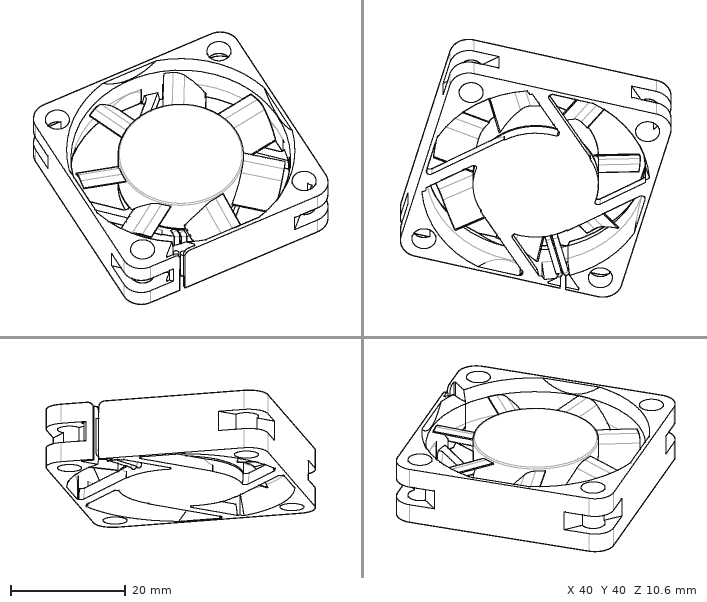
import cadquery as cq
import math

SIDE = 40.0
HALF_SIDE = SIDE / 2
HEIGHT = 10.55
CORNER_RADIUS = 3.45
MOUNT_HOLE_DIAMETER = 4.2
MOUNT_HOLE_INSET = 4.0
NOTCH_HEIGHT = HEIGHT / 3
NOTCH_LEG = 8.0

BORE_RADIUS = 38.5 / 2
FLARE_RADIUS = 20.0
TOP_FLARE_DEPTH = 2.35
BOTTOM_FLARE_DEPTH = 4.3
WALL_THICKNESS = 0.7

BASE_RADIUS = 22.0 / 2
BASE_HEIGHT = 2.1
STRUT_COUNT = 4
STRUT_OUTER = 11.15
STRUT_INNER = 9.1
STRUT_BEVEL = 0.3
STRUT_FILLET = 0.6
FILLET_SINK = 0.1
STRUT_OVERLAP = 0.6
STRUT_ROOT_DEPTH = 2.4
FOOT_INNER = 8.7
FOOT_OUTER = 11.9
STRUT_HEADING = 45.0

OUTLET_CENTRE_Y = -10.2
OUTLET_WALL_X = 19.5
OUTLET_WIDTH = 5.5
OUTLET_LIP = 0.3
PASSAGE_ANGLE = 63.6
PASSAGE_X = 18.0
PASSAGE_LENGTH = 3.6
SLIT_WIDTH = 1.0
SLIT_ROUND = 1.1

HUB_RADIUS = 22.0 / 2
HUB_BOTTOM = 2.4
HUB_TOP = 9.45
HUB_EDGE_ROUND = 0.25
BLADE_COUNT = 7
BLADE_TIP_RADIUS = 18.3
BLADE_ROOT_RADIUS = 10.0
FIRST_BLADE_ANGLE = -3.6

WIRE_COUNT = 2
WIRE_DIAMETER = 1.0
WIRE_Z = 1.5
WIRE_TOP = 8.0
WIRE_SPACING = 1.25
WIRE_SLOPE = 29.0
WIRE_START = (8.8, -5.0)
WIRE_LEAD = 1.35
WIRE_BEND_RADIUS = 2.4
WIRE_END_BEND_RADIUS = 0.6
WIRE_END_X = 18.35


def disc(radius, z_low, z_high):
    return cq.Workplane("XY").workplane(offset=z_low).circle(radius).extrude(z_high - z_low)


def polar(radius, angle, centre=(0, 0)):
    return (centre[0] + radius * math.cos(angle), centre[1] + radius * math.sin(angle))


def make_cone(z_mouth, z_throat):
    """Cone that narrows from the flare radius at its mouth to the bore radius at its throat."""
    profile = (
        cq.Workplane("XZ")
        .moveTo(0, z_mouth)
        .lineTo(FLARE_RADIUS, z_mouth)
        .lineTo(BORE_RADIUS, z_throat)
        .lineTo(0, z_throat)
        .close()
    )
    return profile.revolve(360, (0, 0, 0), (0, 1, 0))


def around_base(shape):
    """Copies of a shape, one for each strut."""
    return [
        shape.rotate((0, 0, 0), (0, 0, 1), STRUT_HEADING + index * 360 / STRUT_COUNT)
        for index in range(STRUT_COUNT)
    ]


def cut_duct(block):
    """Round bore with flared ends cut flat near the sides; the lower flare stops at each strut."""
    clear_width = SIDE - 2 * WALL_THICKNESS
    flats = cq.Workplane("XY").rect(clear_width, clear_width).extrude(HEIGHT)
    top_flare = make_cone(HEIGHT, HEIGHT - TOP_FLARE_DEPTH).intersect(flats)
    bottom_flare = make_cone(0, BOTTOM_FLARE_DEPTH).intersect(flats)
    foot = (
        cq.Workplane("XY")
        .center(FLARE_RADIUS / 2, (FOOT_OUTER + FOOT_INNER) / 2)
        .rect(FLARE_RADIUS, FOOT_OUTER - FOOT_INNER)
        .extrude(BOTTOM_FLARE_DEPTH)
    )
    for copy in around_base(foot):
        bottom_flare = bottom_flare.cut(copy)
    return block.cut(top_flare).cut(bottom_flare).cut(disc(BORE_RADIUS, 0, HEIGHT))


def make_corner_notches():
    """Triangular slots at mid height, one across each corner."""
    notches = cq.Workplane("XY")
    for sign_x in (-1, 1):
        for sign_y in (-1, 1):
            corner = (sign_x * HALF_SIDE, sign_y * HALF_SIDE)
            notch = (
                cq.Workplane("XY")
                .workplane(offset=(HEIGHT - NOTCH_HEIGHT) / 2)
                .polyline(
                    [
                        corner,
                        (corner[0] - sign_x * NOTCH_LEG, corner[1]),
                        (corner[0], corner[1] - sign_y * NOTCH_LEG),
                    ]
                )
                .close()
                .extrude(NOTCH_HEIGHT)
            )
            notches = notches.add(notch)
    return notches.combine()


def make_cable_outlet():
    """Pocket behind the +X wall, a round-edged slit through the wall and a passage to the notch."""
    shoulder_x = OUTLET_WALL_X - OUTLET_LIP
    half_width = OUTLET_WIDTH / 2
    low_y = OUTLET_CENTRE_Y - half_width
    high_y = OUTLET_CENTRE_Y + half_width
    pocket = (
        cq.Workplane("XY")
        .moveTo(shoulder_x - half_width, OUTLET_CENTRE_Y)
        .lineTo(shoulder_x, high_y)
        .lineTo(OUTLET_WALL_X, high_y)
        .lineTo(OUTLET_WALL_X, low_y)
        .lineTo(shoulder_x, low_y)
        .close()
        .extrude(HEIGHT)
    )
    passage_y = low_y + shoulder_x - PASSAGE_X
    passage_angle = math.radians(PASSAGE_ANGLE)
    passage_end_y = passage_y - PASSAGE_LENGTH * math.sin(passage_angle)
    passage = (
        cq.Workplane("XY")
        .workplane(offset=(HEIGHT - NOTCH_HEIGHT) / 2)
        .moveTo(PASSAGE_X, passage_y)
        .lineTo(shoulder_x, low_y)
        .lineTo(shoulder_x, passage_end_y)
        .lineTo(PASSAGE_X - PASSAGE_LENGTH * math.cos(passage_angle), passage_end_y)
        .close()
        .extrude(NOTCH_HEIGHT)
    )
    narrow = SLIT_WIDTH / 2
    wide = narrow + SLIT_ROUND
    round_z = HEIGHT - SLIT_ROUND
    middle = SLIT_ROUND * (1 - math.sqrt(0.5))
    slit = (
        cq.Workplane("YZ", origin=(OUTLET_WALL_X, OUTLET_CENTRE_Y, 0))
        .moveTo(-narrow, 0)
        .lineTo(narrow, 0)
        .lineTo(narrow, round_z)
        .threePointArc((narrow + middle, HEIGHT - middle), (wide, HEIGHT))
        .lineTo(-wide, HEIGHT)
        .threePointArc((-narrow - middle, HEIGHT - middle), (-narrow, round_z))
        .close()
        .extrude(HALF_SIDE - OUTLET_WALL_X)
    )
    return pocket.union(slit).union(passage)


def draw_strut_plan(workplane, inset):
    """Outline of one strut along X, inset from its foot, with a fillet at the wall and at the base."""
    outer = STRUT_OUTER - inset
    inner = STRUT_INNER + inset
    fillet = STRUT_FILLET + inset
    wall_radius = BORE_RADIUS + FILLET_SINK + inset
    hub_radius = BASE_RADIUS - FILLET_SINK - inset
    root_radius = BASE_RADIUS - STRUT_ROOT_DEPTH
    end_radius = BORE_RADIUS + STRUT_OVERLAP

    wall_y = outer + fillet
    wall_x = math.sqrt((wall_radius - fillet) ** 2 - wall_y**2)
    wall_angle = math.atan2(wall_y, wall_x)
    wall_mid_angle = (wall_angle - math.pi / 2) / 2

    hub_y = inner - fillet
    hub_x = math.sqrt((hub_radius + fillet) ** 2 - hub_y**2)
    hub_angle = math.atan2(hub_y, hub_x)
    hub_mid_angle = (hub_angle + math.pi + math.pi / 2) / 2

    return (
        workplane.moveTo(0, outer)
        .lineTo(wall_x, outer)
        .threePointArc(
            polar(fillet, wall_mid_angle, (wall_x, wall_y)),
            polar(wall_radius, wall_angle),
        )
        .lineTo(*polar(end_radius, wall_angle))
        .lineTo(*polar(end_radius, math.asin(inner / end_radius)))
        .lineTo(hub_x, inner)
        .threePointArc(
            polar(fillet, hub_mid_angle, (hub_x, hub_y)),
            polar(hub_radius, hub_angle),
        )
        .lineTo(*polar(root_radius, hub_angle))
        .lineTo(0, root_radius)
        .close()
    )


def make_strut():
    """Strut whose sides lean inwards towards its top."""
    foot_plan = draw_strut_plan(cq.Workplane("XY"), 0)
    top_plan = draw_strut_plan(foot_plan.workplane(offset=BASE_HEIGHT), STRUT_BEVEL)
    return top_plan.loft(ruled=True)


def make_spider():
    """Motor base with its struts."""
    spider = disc(BASE_RADIUS, 0, BASE_HEIGHT)
    for copy in around_base(make_strut()):
        spider = spider.union(copy)
    return spider


def make_frame(wires):
    """Square housing joined to the motor base, with a channel for each wire."""
    hole_spacing = SIDE - 2 * MOUNT_HOLE_INSET
    block = cq.Workplane("XY").rect(SIDE, SIDE).extrude(HEIGHT).edges("|Z").fillet(CORNER_RADIUS)
    mount_holes = (
        cq.Workplane("XY")
        .rect(hole_spacing, hole_spacing, forConstruction=True)
        .vertices()
        .circle(MOUNT_HOLE_DIAMETER / 2)
        .extrude(HEIGHT)
    )
    frame = (
        cut_duct(block)
        .cut(make_corner_notches())
        .cut(mount_holes)
        .cut(make_cable_outlet())
        .union(make_spider())
    )
    for wire in wires:
        frame = frame.cut(wire)
    return frame


def make_blade():
    """One blade along +X: flat at the leading edge, then curving down to the trailing edge."""
    section = (
        cq.Workplane("YZ", origin=(BLADE_ROOT_RADIUS, 0, 0))
        .moveTo(3.45, 8.8)
        .lineTo(1.8, 8.8)
        .threePointArc((0.7, 8.55), (-0.2, 7.9))
        .threePointArc((-2.25, 5.7), (-4.0, 3.15))
        .lineTo(-3.75, 3.15)
        .threePointArc((-1.95, 5.6), (0.05, 7.7))
        .threePointArc((0.85, 8.3), (1.8, 8.55))
        .lineTo(3.45, 8.55)
        .close()
    )
    return section.extrude(BLADE_TIP_RADIUS - BLADE_ROOT_RADIUS)


def make_rotor():
    """Hub with its ring of blades."""
    rotor = disc(HUB_RADIUS, HUB_BOTTOM, HUB_TOP).faces(">Z").edges().fillet(HUB_EDGE_ROUND)
    blade = make_blade().intersect(disc(BLADE_TIP_RADIUS, HUB_BOTTOM, HUB_TOP))
    for index in range(BLADE_COUNT):
        turn = FIRST_BLADE_ANGLE + index * 360 / BLADE_COUNT
        rotor = rotor.union(blade.rotate((0, 0, 0), (0, 0, 1), turn))
    return rotor


def make_wire():
    """Wire leaving the base along +X, bending towards the outlet and then turning straight up."""
    slope = math.radians(WIRE_SLOPE)
    start = cq.Vector(WIRE_START[0], WIRE_START[1], WIRE_Z)
    bend_start = start + cq.Vector(WIRE_LEAD, 0, 0)

    def on_bend(angle):
        return bend_start + cq.Vector(math.sin(angle), math.cos(angle) - 1, 0) * WIRE_BEND_RADIUS

    bend_end = on_bend(slope)
    heading = cq.Vector(math.cos(slope), -math.sin(slope), 0)
    corner = bend_end + heading * ((WIRE_END_X - bend_end.x) / math.cos(slope))
    up = cq.Vector(0, 0, 1)
    turn_start = corner - heading * WIRE_END_BEND_RADIUS
    turn_end = corner + up * WIRE_END_BEND_RADIUS
    turn_middle = corner + (up - heading) * (WIRE_END_BEND_RADIUS * (1 - math.sqrt(0.5)))
    top = cq.Vector(corner.x, corner.y, WIRE_TOP)
    path = cq.Wire.assembleEdges(
        [
            cq.Edge.makeLine(start, bend_start),
            cq.Edge.makeThreePointArc(bend_start, on_bend(slope / 2), bend_end),
            cq.Edge.makeLine(bend_end, turn_start),
            cq.Edge.makeThreePointArc(turn_start, turn_middle, turn_end),
            cq.Edge.makeLine(turn_end, top),
        ]
    )
    return (
        cq.Workplane("YZ", origin=start.toTuple())
        .circle(WIRE_DIAMETER / 2)
        .sweep(cq.Workplane(path))
    )


def make_wires():
    """Equal wires side by side."""
    wire = make_wire()
    slope = math.radians(WIRE_SLOPE)
    step = cq.Vector(-math.sin(slope), -math.cos(slope), 0) * WIRE_SPACING
    return [wire.translate(step * index) for index in range(WIRE_COUNT)]


wires = make_wires()
frame = make_frame(wires)
rotor = make_rotor()

result = cq.Compound.makeCompound([frame.val(), rotor.val(), *[wire.val() for wire in wires]])